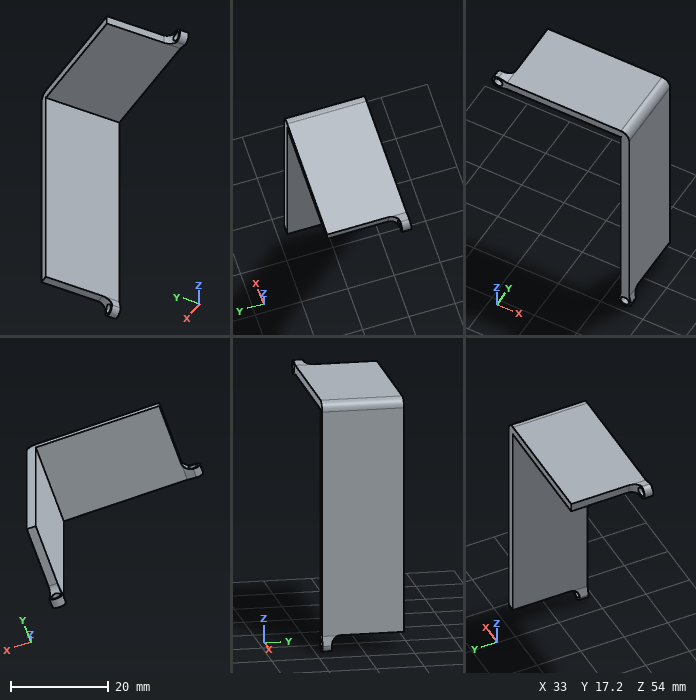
import cadquery as cq

overall_x = 33.0
depth = 17.15
overall_z = 54.0

thickness = 2.0
eye_diameter = 3.0
hole_diameter = 2.0
eye_width = 2.0
neck_length = 2.0

eye_radius = eye_diameter / 2
half_thickness = thickness / 2

span_x = overall_x - eye_diameter
span_z = overall_z - eye_diameter
plate_end_x = -(span_x - neck_length)
plate_end_z = -(span_z - neck_length)


def extrude_back(profile, length):
    """Extrude an XZ profile from the front face toward +Y."""
    return profile.extrude(-length)


def make_plate():
    """Two legs at a right angle, rounded about the sharp inside corner."""
    profile = (
        cq.Workplane("XZ")
        .moveTo(plate_end_x, -half_thickness)
        .lineTo(plate_end_x, half_thickness)
        .lineTo(-half_thickness, half_thickness)
        .radiusArc((half_thickness, -half_thickness), thickness)
        .lineTo(half_thickness, plate_end_z)
        .lineTo(-half_thickness, plate_end_z)
        .lineTo(-half_thickness, -half_thickness)
        .close()
    )
    return extrude_back(profile, depth)


def make_eye():
    """Eye centred on the origin, its tapered neck pointing toward +X."""
    fillet_radius = neck_length
    body_depth = eye_width + fillet_radius
    outline = (
        cq.Workplane("XZ")
        .moveTo(0, eye_radius)
        .lineTo(neck_length, half_thickness)
        .lineTo(neck_length, -half_thickness)
        .lineTo(0, -eye_radius)
        .threePointArc((-eye_radius, 0), (0, eye_radius))
        .close()
    )
    body = extrude_back(outline, body_depth)

    side = (
        cq.Workplane("XY")
        .moveTo(-eye_radius, 0)
        .lineTo(neck_length, 0)
        .lineTo(neck_length, body_depth)
        .radiusArc((neck_length - fillet_radius, eye_width), fillet_radius)
        .lineTo(-eye_radius, eye_width)
        .close()
        .extrude(eye_radius, both=True)
    )
    hole = extrude_back(cq.Workplane("XZ").circle(hole_diameter / 2), body_depth)
    return body.intersect(side).cut(hole)


eye = make_eye()
top_eye = eye.translate((-span_x, 0, 0))
bottom_eye = eye.rotate((0, 0, 0), (0, 1, 0), -90).translate((0, 0, -span_z))

result = make_plate().union(top_eye).union(bottom_eye)